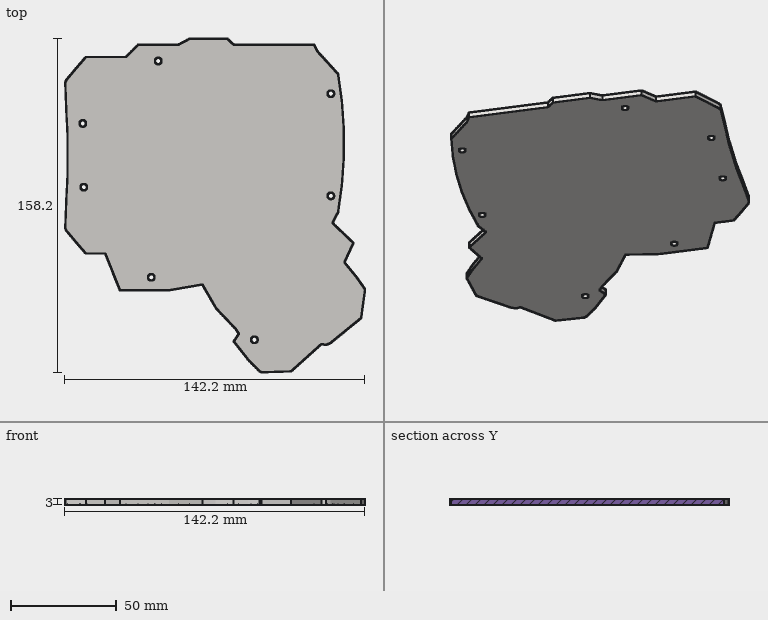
import cadquery as cq

LENGTH = 158.2
WIDTH = 142.2
THICKNESS = 3.0
HOLE_DIAMETER = 3.0

SHOULDER_Y = 155.3
LEFT_TOP_Y = 149.5
LEFT_BOTTOM_Y = 56.3
FOOT_Y = 38.9
LEFT_CORNER_X = 9.8
RIGHT_X = 129.4
RIGHT_BOW = 2.8
RIGHT_TOP_Y = 141.4
RIGHT_BOTTOM_Y = 76.0

RIGHT_ARC_MIDDLE = (RIGHT_TOP_Y + RIGHT_BOTTOM_Y) / 2

TOP_EDGE = [
    (LEFT_CORNER_X, LEFT_TOP_Y),
    (28.8, LEFT_TOP_Y),
    (34.6, SHOULDER_Y),
    (53.6, SHOULDER_Y),
    (59.0, LENGTH),
    (76.9, LENGTH),
    (79.9, SHOULDER_Y),
    (118.0, SHOULDER_Y),
    (119.5, 152.2),
    (RIGHT_X, RIGHT_TOP_Y),
]

THUMB_EDGE = [
    (126.7, 70.9),
    (136.7, 61.4),
    (132.4, 52.2),
    (138.1, 45.2),
    (WIDTH, 39.4),
    (140.3, 25.8),
    (125.7, 13.9),
    (123.5, 13.0),
    (121.5, 13.5),
    (107.1, 0.5),
    (97.3, 0.2),
    (93.2, 0),
    (92.2, 0.5),
    (86.8, 5.9),
    (79.9, 14.7),
    (82.2, 18.3),
    (80.8, 20.5),
]

FOOT_EDGE = [
    (71.5, 30.4),
    (65.0, 41.6),
    (49.3, FOOT_Y),
    (26.0, FOOT_Y),
    (19.0, LEFT_BOTTOM_Y),
    (LEFT_CORNER_X, LEFT_BOTTOM_Y),
]

HOLE_CENTERS = [
    (44.1, 147.5),
    (125.9, 132.0),
    (8.4, 118.0),
    (8.9, 87.8),
    (125.9, 83.7),
    (40.8, 45.0),
    (89.7, 15.5),
]


LEFT_MIDDLE_Y = (LEFT_TOP_Y + LEFT_BOTTOM_Y) / 2
LEFT_UPPER_EDGE = [
    (1.1, 112.3),
    (0.8, 118.8),
    (0.6, 121.0),
    (0, 137.5),
    (0.6, 138.7),
    (5.7, 144.7),
]
LEFT_LOWER_EDGE = [(x, 2 * LEFT_MIDDLE_Y - y) for x, y in reversed(LEFT_UPPER_EDGE)]


def make_plate():
    left_edge = LEFT_LOWER_EDGE + LEFT_UPPER_EDGE
    lower_edge = [(RIGHT_X, RIGHT_BOTTOM_Y)] + THUMB_EDGE + FOOT_EDGE
    return (
        cq.Workplane("XY")
        .polyline(lower_edge + left_edge + TOP_EDGE)
        .threePointArc((RIGHT_X + RIGHT_BOW, RIGHT_ARC_MIDDLE), (RIGHT_X, RIGHT_BOTTOM_Y))
        .close()
        .extrude(THICKNESS)
    )


def make_holes():
    return (
        cq.Workplane("XY")
        .pushPoints(HOLE_CENTERS)
        .circle(HOLE_DIAMETER / 2)
        .extrude(THICKNESS)
    )


result = make_plate().cut(make_holes())